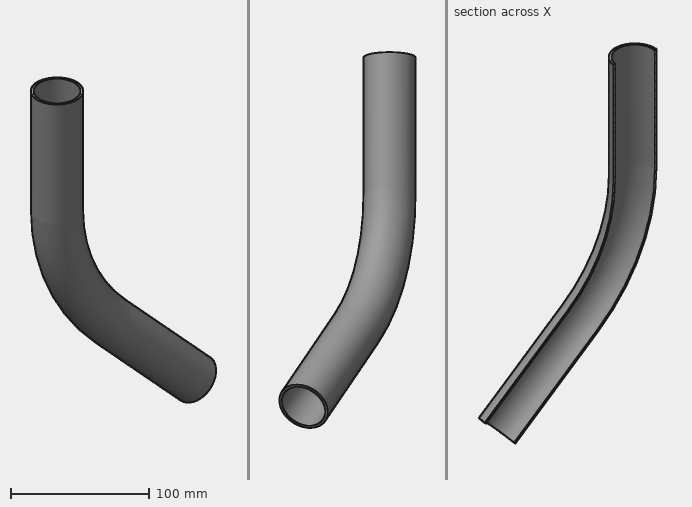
import cadquery as cq
import math

overall_height = 294.7
outer_diameter = 38.0
inner_diameter = 34.0
bend_radius = 153.2
bend_angle = math.radians(45)

bend_rise = bend_radius * math.sin(bend_angle)
end_face_drop = outer_diameter / 2 * math.sin(bend_angle)
leg_length = (overall_height - bend_rise - end_face_drop) / (1 + math.cos(bend_angle))


def bend_point(angle):
    """Centreline point (Y, Z) after turning by angle from the top of the bend."""
    return (bend_radius * (1 - math.cos(angle)), -bend_radius * math.sin(angle))


bend_end = bend_point(bend_angle)
lower_end = (
    bend_end[0] + leg_length * math.sin(bend_angle),
    bend_end[1] - leg_length * math.cos(bend_angle),
)
centreline = (
    cq.Workplane("YZ")
    .moveTo(0, leg_length)
    .lineTo(0, 0)
    .threePointArc(bend_point(bend_angle / 2), bend_end)
    .lineTo(*lower_end)
)

result = (
    cq.Workplane("XY")
    .workplane(offset=leg_length)
    .circle(outer_diameter / 2)
    .circle(inner_diameter / 2)
    .sweep(centreline)
)